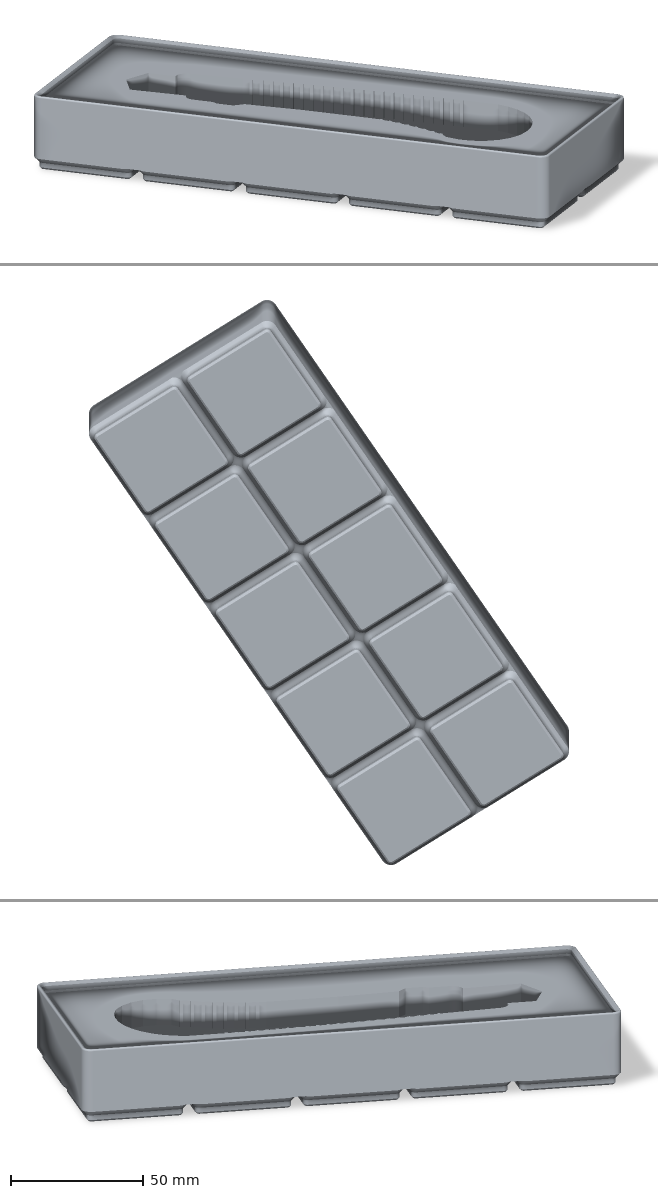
import cadquery as cq

length = 209.5
width = 83.5
height = 29.5
corner_radius = 3.8

feet_x = 5
feet_y = 2
foot_clearance = 0.25
pitch_x = (length + 2 * foot_clearance) / feet_x
pitch_y = (width + 2 * foot_clearance) / feet_y
foot_toe_chamfer = 0.8
foot_wall = 1.9
foot_flare = 2.3
foot_height = foot_toe_chamfer + foot_wall + foot_flare
foot_radius = corner_radius + foot_clearance

lip_lower_chamfer = 0.7
lip_wall = 1.8
lip_upper_chamfer = 1.9
rim_fillet = 0.6
rim_trim = rim_fillet * 2 ** 0.5
lip_depth = lip_lower_chamfer + lip_wall + lip_upper_chamfer - rim_trim
floor_z = height - lip_depth

pocket_depth = 10.5
grip_pitch = 4.0
notch_width = 1.3
notch_depth = 0.6
top_grip_start = (-42.0, 17.5)
top_grip_end_y = 23.0
top_notches = 22
bottom_grip_start = (22.0, -10.5)
bottom_grip_end_y = -19.5
bottom_notches = 8
top_bend = 1.7
bottom_bend = 1.5
butt_top = (59.7, 23.0)
butt_upper_middle = (76.0, 13.8)
butt_tip = (82.1, -3.8)
butt_lower_middle = (75.8, -18.5)
butt_bottom = (61.8, -23.0)
butt_step = (56.1, -21.8)
upper_butt_facets = 8
lower_butt_facets = 6


def rounded_slab(size_x, size_y, radius, z, thickness):
    """Straight block with rounded vertical corners, its base at height z."""
    slab = cq.Workplane("XY").workplane(offset=z).rect(size_x, size_y).extrude(thickness)
    return slab.edges("|Z").fillet(radius)


def stepped_plug(size_x, size_y, radius, z, lower, wall, upper):
    """Stack of chamfer, straight wall and chamfer, widest at the top."""
    def ring_at(inset, level):
        ring = cq.Sketch().rect(size_x - 2 * inset, size_y - 2 * inset)
        return ring.vertices().fillet(radius - inset), level

    levels = [
        ring_at(lower + upper, z),
        ring_at(upper, z + lower),
        ring_at(upper, z + lower + wall),
        ring_at(0, z + lower + wall + upper),
    ]
    plug = None
    for (below, z_below), (above, z_above) in zip(levels, levels[1:]):
        rise = cq.Vector(0, 0, z_above - z_below)
        section = cq.Workplane("XY").workplane(offset=z_below)
        section = section.placeSketch(below, above.moved(cq.Location(rise))).loft()
        plug = section if plug is None else plug.union(section)
    return plug


def make_feet():
    """Grid of stepped feet, trimmed to the outline of the body."""
    foot = stepped_plug(pitch_x, pitch_y, foot_radius, 0, foot_toe_chamfer, foot_wall, foot_flare)
    feet = cq.Workplane("XY")
    for i in range(feet_x):
        for j in range(feet_y):
            x = (i - (feet_x - 1) / 2) * pitch_x
            y = (j - (feet_y - 1) / 2) * pitch_y
            feet = feet.union(foot.translate((x, y, 0)))
    envelope = rounded_slab(length, width, corner_radius, 0, foot_height)
    return feet.intersect(envelope)


def make_body():
    """Block with the lip recess cut out of its top and the crest of the lip rounded."""
    crest_z = height + rim_trim
    block = rounded_slab(length, width, corner_radius, foot_height, crest_z - foot_height)
    recess = stepped_plug(
        length, width, corner_radius, floor_z, lip_lower_chamfer, lip_wall, lip_upper_chamfer
    )
    body = block.cut(recess)
    return body.edges(">Z").fillet(rim_fillet)


def notched_edge(start, end_y, count, bend, inward):
    """Points of a gently bending grip edge, with a notch at the end of every pitch."""
    start_x, start_y = start
    run = count * grip_pitch

    def edge_y(x):
        return start_y + (end_y - start_y) * bend((x - start_x) / run)

    points = []
    for i in range(count):
        right = start_x + (i + 1) * grip_pitch
        left = right - notch_width
        points += [
            (left, edge_y(left)),
            (left, edge_y(left) + inward * notch_depth),
            (right, edge_y(right) + inward * notch_depth),
            (right, edge_y(right)),
        ]
    return points


def faceted_arc(start, middle, end, facets):
    """Corner points, after the start, of an arc made of equal flat facets."""
    arc = cq.Edge.makeThreePointArc(cq.Vector(*start), cq.Vector(*middle), cq.Vector(*end))
    corners = arc.positions([i / facets for i in range(1, facets + 1)])
    return [(corner.x, corner.y) for corner in corners]


def make_pocket():
    """Prism with the outline of the tool, from the pocket bottom up to the floor of the lip."""
    top_edge = notched_edge(
        top_grip_start, top_grip_end_y, top_notches, lambda t: 1 - (1 - t) ** top_bend, -1
    )
    bottom_edge = notched_edge(
        bottom_grip_start, bottom_grip_end_y, bottom_notches, lambda t: t ** bottom_bend, 1
    )
    butt = [butt_top]
    butt += faceted_arc(butt_top, butt_upper_middle, butt_tip, upper_butt_facets)
    butt += faceted_arc(butt_tip, butt_lower_middle, butt_bottom, lower_butt_facets)
    outline = (
        cq.Workplane("XY").workplane(offset=floor_z - pocket_depth)
        .moveTo(-76.9, -10.7)
        .lineTo(-82.8, 0.5)
        .lineTo(-78.0, 11.0)
        .lineTo(-66.8, 11.0)
        .lineTo(-66.8, 13.0)
        .threePointArc((-65.4, 15.0), (-62.8, 16.1))
        .lineTo(*top_grip_start)
    )
    for point in top_edge + butt:
        outline = outline.lineTo(*point)
    outline = outline.lineTo(*butt_step)
    for point in reversed(bottom_edge):
        outline = outline.lineTo(*point)
    outline = (
        outline
        .lineTo(*bottom_grip_start)
        .lineTo(-6.0, -10.5)
        .lineTo(-29.7, -11.7)
        .lineTo(-33.0, -14.9)
        .lineTo(-39.8, -14.9)
        .lineTo(-42.0, -13.6)
        .lineTo(-49.9, -13.6)
        .threePointArc((-52.8, -12.5), (-54.3, -9.8))
        .close()
    )
    return outline.extrude(pocket_depth)


result = make_feet().union(make_body()).cut(make_pocket())